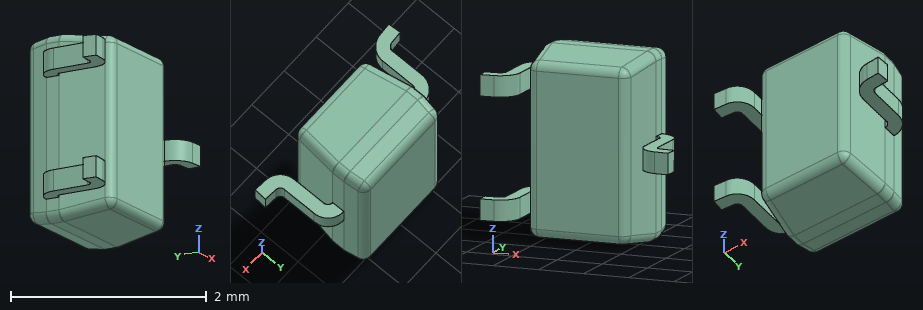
import cadquery as cq
import math

LEAD_SPAN = 2.1
HOUSING_WIDTH = 1.25
HOUSING_HEIGHT = 2.0
HOUSING_FRONT = 0.1
HOUSING_BACK = 1.1

DRAFT_ANGLE = 8.0
EDGE_RADIUS = 0.1
BELT_BACK = 0.845
TOLERANCE = 0.002

LEAD_THICKNESS = 0.151
BELT_FRONT = BELT_BACK - LEAD_THICKNESS
LEAD_WIDTH = 0.227
LEAD_PITCH = 0.65
SHANK_OUTER_X = 0.84
FOOT_ANGLE = 4.0
BEND_OUTER = SHANK_OUTER_X - HOUSING_WIDTH / 2
BEND_INNER = BEND_OUTER - LEAD_THICKNESS


def belt_block(start_y, depth, taper=0.0):
    """Block with the belt outline at start_y; a positive depth runs towards -Y."""
    plane = cq.Workplane("XZ", origin=(0, start_y, 0))
    return plane.rect(HOUSING_WIDTH, HOUSING_HEIGHT).extrude(depth, taper=taper)


def make_housing():
    belt = belt_block(BELT_BACK, LEAD_THICKNESS)
    front = belt_block(BELT_FRONT, BELT_FRONT - HOUSING_FRONT, DRAFT_ANGLE)
    back = belt_block(BELT_BACK, BELT_BACK - HOUSING_BACK, DRAFT_ANGLE)
    block = belt.union(front).union(back)
    def is_rounded(edge):
        on_belt = BELT_FRONT - TOLERANCE < edge.Center().y < BELT_BACK + TOLERANCE
        return not on_belt or abs(edge.tangentAt(0.5).y) > TOLERANCE

    rounded = [edge for edge in block.edges().vals() if is_rounded(edge)]
    return block.newObject(rounded).fillet(EDGE_RADIUS)


def make_lead(side, center_z):
    """Bent lead leaving the housing on the given side (+1 for +X, -1 for -X)."""
    angle = math.radians(FOOT_ANGLE)

    down_x = -math.sin(angle)
    down_y = -math.cos(angle)

    upper_x = HOUSING_WIDTH / 2
    upper_y = BELT_BACK - BEND_OUTER
    lower_x = SHANK_OUTER_X + BEND_INNER
    foot_length = (LEAD_SPAN / 2 - lower_x - BEND_INNER * down_x) / math.cos(angle)
    lower_y = BEND_OUTER * math.cos(angle) + foot_length * math.sin(angle)

    def upper(radius, turn):
        return (side * (upper_x + radius * math.cos(turn)), upper_y + radius * math.sin(turn))

    def lower(radius, turn):
        return (side * (lower_x + radius * math.cos(turn)), lower_y + radius * math.sin(turn))

    def foot_end(radius):
        x = lower_x + radius * down_x + foot_length * math.cos(angle)
        y = lower_y + radius * down_y - foot_length * math.sin(angle)
        return (side * x, y)

    quarter = math.pi / 2
    foot_turn = math.pi + quarter - angle
    mid_turn = (math.pi + foot_turn) / 2
    return (
        cq.Workplane("XY", origin=(0, 0, center_z - LEAD_WIDTH / 2))
        .moveTo(*upper(BEND_OUTER, quarter))
        .threePointArc(upper(BEND_OUTER, quarter / 2), upper(BEND_OUTER, 0))
        .lineTo(*lower(BEND_INNER, math.pi))
        .threePointArc(lower(BEND_INNER, mid_turn), lower(BEND_INNER, foot_turn))
        .lineTo(*foot_end(BEND_INNER))
        .lineTo(*foot_end(BEND_OUTER))
        .lineTo(*lower(BEND_OUTER, foot_turn))
        .threePointArc(lower(BEND_OUTER, mid_turn), lower(BEND_OUTER, math.pi))
        .lineTo(*upper(BEND_INNER, 0))
        .threePointArc(upper(BEND_INNER, quarter / 2), upper(BEND_INNER, quarter))
        .close()
        .extrude(LEAD_WIDTH)
    )


housing = make_housing()

lead_places = [(-1, -LEAD_PITCH), (-1, LEAD_PITCH), (1, 0.0)]
leads = [make_lead(side, center_z).val() for side, center_z in lead_places]

result = cq.Compound.makeCompound([housing.val(), *leads])